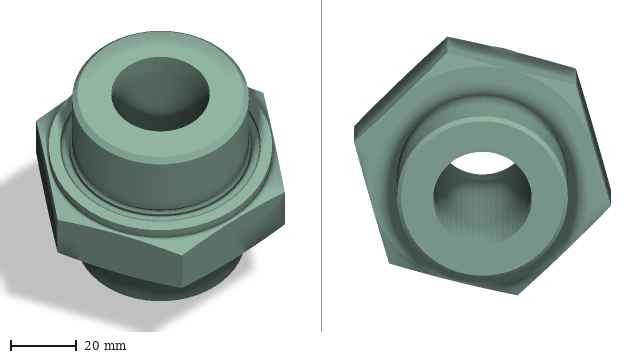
import cadquery as cq
import math

hex_bottom = 22.0
hex_top = 40.0
collar_top = 43.5
total_height = 67.5

bore_diameter = 30.0
lower_diameter = 52.0
upper_diameter = 53.75
upper_neck_diameter = 52.0
collar_diameter = 68.0
ring_inner_diameter = 55.0
ring_outer_diameter = 61.0

seal_recess = 0.1

hex_across_corners = 80.8
hex_across_flats = hex_across_corners * math.cos(math.pi / 6)
hex_chamfer_angle = math.radians(15)

lower_chamfer = 1.2
lower_neck_depth = 0.8
lower_neck_height = 1.3
upper_end_chamfer = 1.6
upper_neck_height = 1.4


def revolve_profile(points):
    """Revolve a closed (radius, height) outline around the Z axis."""
    return cq.Workplane("XZ").polyline(points).close().revolve(360, (0, 0), (0, 1))


def make_hexagon():
    """Hexagon with conical chamfers that start at the flats on both faces."""
    prism = (
        cq.Workplane("XY", origin=(0, 0, hex_bottom))
        .polygon(6, hex_across_corners)
        .extrude(hex_top - hex_bottom)
        .rotate((0, 0, 0), (0, 0, 1), 30)
    )
    face_radius = hex_across_flats / 2
    corner_radius = hex_across_corners / 2
    corner_drop = (corner_radius - face_radius) * math.tan(hex_chamfer_angle)
    envelope = revolve_profile([
        (0, hex_bottom),
        (face_radius, hex_bottom),
        (corner_radius, hex_bottom + corner_drop),
        (corner_radius, hex_top - corner_drop),
        (face_radius, hex_top),
        (0, hex_top),
    ])
    return prism.intersect(envelope)


def make_lower_stub():
    """Lower spigot, chamfered at its end and tapered in at the hexagon."""
    radius = lower_diameter / 2
    return revolve_profile([
        (0, 0),
        (radius - lower_chamfer, 0),
        (radius, lower_chamfer),
        (radius, hex_bottom - lower_neck_height),
        (radius - lower_neck_depth, hex_bottom),
        (0, hex_bottom),
    ])


def make_upper_stub():
    """Upper spigot with the sealing collar at its foot."""
    radius = upper_diameter / 2
    return revolve_profile([
        (0, hex_top),
        (collar_diameter / 2, hex_top),
        (collar_diameter / 2, collar_top),
        (upper_neck_diameter / 2, collar_top),
        (radius, collar_top + upper_neck_height),
        (radius, total_height - upper_end_chamfer),
        (radius - upper_end_chamfer, total_height),
        (0, total_height),
    ])


def make_seal_groove():
    """Groove in the collar face around a half-round seal just below that face."""
    inner = ring_inner_diameter / 2
    outer = ring_outer_diameter / 2
    middle = (inner + outer) / 2
    seal_crest = collar_top - seal_recess
    groove_floor = seal_crest - (outer - inner) / 2
    return (
        cq.Workplane("XZ")
        .moveTo(inner, collar_top)
        .lineTo(inner, groove_floor)
        .threePointArc((middle, seal_crest), (outer, groove_floor))
        .lineTo(outer, collar_top)
        .close()
        .revolve(360, (0, 0), (0, 1))
    )


bore = cq.Workplane("XY").circle(bore_diameter / 2).extrude(total_height)

result = make_hexagon().union(make_lower_stub()).union(make_upper_stub())
result = result.cut(make_seal_groove()).cut(bore)